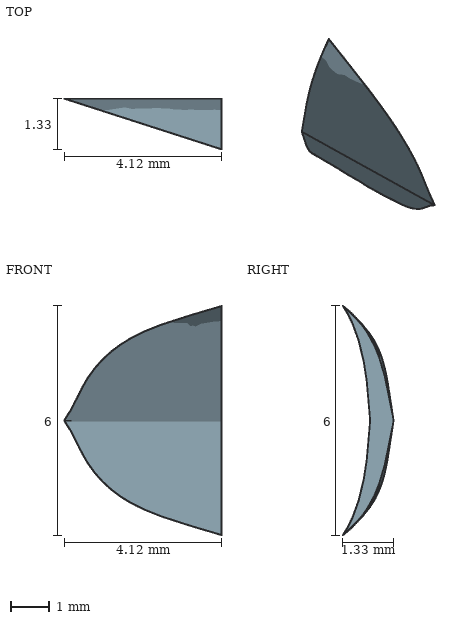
import cadquery as cq

LENGTH = 4.124
DEPTH = 1.33
HALF_SPAN = 3.0
THICKNESS = 0.62

RIM_POINTS = [(-3.888, 0.384), (-3.571, 1.008), (-2.816, 1.867), (-1.514, 2.536)]

FRONT_POINTS = [(-0.72, 1.12), (-0.89, 1.99), (-1.09, 2.56)]
BACK_POINTS = [(-0.21, 1.05), (-0.50, 1.95), (-0.86, 2.54)]

TIP = cq.Vector(-LENGTH, 0, 0)
RIDGE_END = cq.Vector(0, 0, 0)
VALLEY_END = cq.Vector(0, -THICKNESS, 0)
CORNER = cq.Vector(0, -DEPTH, HALF_SPAN)


def make_rim():
    """Sharp outer edge, lying in a plane that slopes from the tip to the wing corner."""
    slope = DEPTH / LENGTH
    middle = [cq.Vector(x, -slope * (x + LENGTH), z) for x, z in RIM_POINTS]
    return cq.Edge.makeSpline([TIP, *middle, CORNER])


def make_end_edge(start, points):
    """Curved edge of the end face, from the mid plane to the wing corner."""
    middle = [cq.Vector(0, y, z) for y, z in points]
    return cq.Edge.makeSpline([start, *middle, CORNER])


def make_curved_face(*edges):
    """Smooth face stretched between its boundary edges."""
    return cq.Face.makeNSidedSurface(edges, [])


def make_flat_face(*edges):
    """Planar face inside its boundary edges."""
    return cq.Face.makeFromWires(cq.Wire.assembleEdges(edges))


def make_upper_wing():
    """Upper half of the part, closed by a flat face on the mid plane."""
    rim = make_rim()
    ridge = cq.Edge.makeLine(TIP, RIDGE_END)
    valley = cq.Edge.makeLine(TIP, VALLEY_END)
    root = cq.Edge.makeLine(RIDGE_END, VALLEY_END)
    back_edge = make_end_edge(RIDGE_END, BACK_POINTS)
    front_edge = make_end_edge(VALLEY_END, FRONT_POINTS)

    faces = [
        make_curved_face(valley, front_edge, rim),
        make_curved_face(ridge, back_edge, rim),
        make_flat_face(root, front_edge, back_edge),
        make_flat_face(ridge, root, valley),
    ]
    shell = cq.Shell.makeShell(faces)
    return cq.Workplane(obj=cq.Solid.makeSolid(shell).fix())


upper_wing = make_upper_wing()
lower_wing = upper_wing.mirror("XY")
result = upper_wing.union(lower_wing)